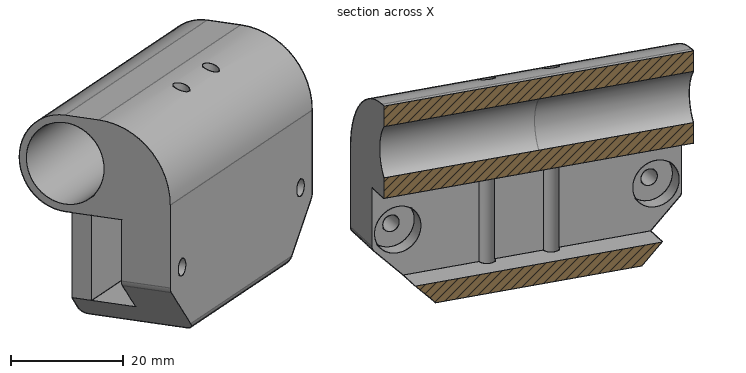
import cadquery as cq
import math

length = 60.0
width = 29.5
height = 40.0

tube_radius = 9.0
bore_diameter = 15.2
head_radius = 14.0
tube_x = tube_radius
tube_z = height - tube_radius
head_bottom = height - 2 * tube_radius

base_width = 22.0
base_left = width - base_width
floor_thickness = 4.0
wall_thickness = 3.9
head_overlap = 0.6
base_top = head_bottom + head_overlap
slot_width = 8.6
slot_left = base_left + wall_thickness
slot_right = slot_left + slot_width
bottom_edge_radius = 1.4
wall_length = 48.0
end_chamfer = 10.0
chamfer_corner_radius = 1.4

screw_diameter = 3.2
screw_head_diameter = 9.0
screw_head_depth = 3.0
screw_spacing = 50.05
screw_z = 13.0

vertical_diameter = 3.0
vertical_x = slot_right
vertical_ys = (-4.7, 7.75)


def box(x_start, x_end, y_size, z_start, z_end):
    """Box centred on Y, placed by its X and Z limits."""
    block = cq.Workplane("XY").box(x_end - x_start, y_size, z_end - z_start, centered=(False, True, False))
    return block.translate((x_start, 0, z_start))


def x_cylinder(diameter, x_start, x_end, y, z):
    """Cylinder along X between two X limits."""
    plane = cq.Workplane("YZ", origin=(x_start, y, z))
    return plane.circle(diameter / 2).extrude(x_end - x_start)


def make_head():
    """Tube outline joined to a block with one large rounded corner."""
    corner_x = width - head_radius
    corner_z = height - head_radius
    diagonal = head_radius * math.sqrt(0.5)
    outline = (
        cq.Workplane("XZ")
        .moveTo(tube_x, head_bottom)
        .threePointArc((0, tube_z), (tube_x, height))
        .lineTo(corner_x, height)
        .threePointArc((corner_x + diagonal, corner_z + diagonal), (width, corner_z))
        .lineTo(width, head_bottom)
        .close()
    )
    return outline.extrude(length / 2, both=True)


def make_base():
    """Open channel with rounded bottom edges and sloping lower ends."""
    base = box(base_left, width, length, 0, base_top)
    base = base.edges("|Y and <Z").fillet(bottom_edge_radius)

    end_shape = box(base_left, width, length, 0, base_top)
    end_shape = end_shape.edges("|X and <Z").chamfer(end_chamfer)
    for side in (-1, 1):
        corner = cq.selectors.NearestToPointSelector((width - base_width / 2, side * length / 2, end_chamfer))
        end_shape = end_shape.edges("|X").edges(corner).fillet(chamfer_corner_radius)
    base = base.intersect(end_shape)

    slot = box(slot_left, slot_right, length, floor_thickness, head_bottom)
    base = base.cut(slot)

    wall_zone = box(base_left, slot_left, length, floor_thickness, base_top)
    wall_keep = box(base_left, slot_left, wall_length, floor_thickness, base_top)
    return base.cut(wall_zone.cut(wall_keep))


result = make_head().union(make_base())

bore = cq.Workplane("XZ", origin=(tube_x, 0, tube_z)).circle(bore_diameter / 2)
result = result.cut(bore.extrude(length / 2, both=True))

for screw_y in (-screw_spacing / 2, screw_spacing / 2):
    result = result.cut(x_cylinder(screw_diameter, slot_right, width, screw_y, screw_z))
    head_end = slot_right + screw_head_depth
    result = result.cut(x_cylinder(screw_head_diameter, slot_right, head_end, screw_y, screw_z))

for vertical_y in vertical_ys:
    drill = cq.Workplane("XY").center(vertical_x, vertical_y).circle(vertical_diameter / 2)
    result = result.cut(drill.extrude(height))